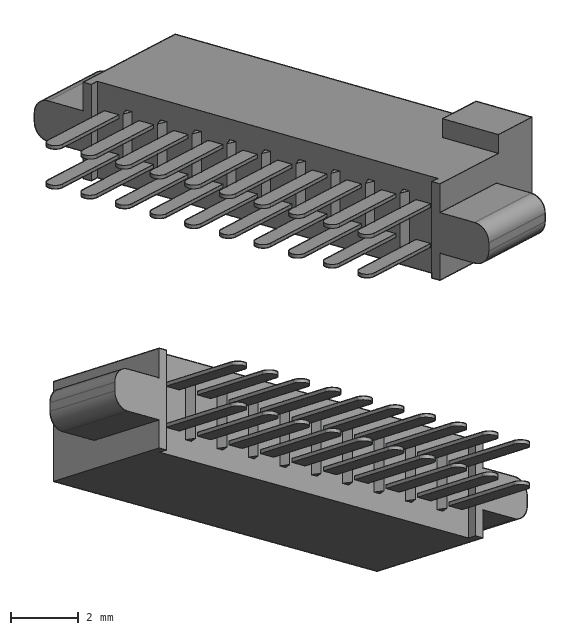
import cadquery as cq

overall_length = 16.64
overall_depth = 7.32
overall_height = 3.68
body_length = 13.06
body_depth = 4.56
body_height = 3.08

recess_depth = 0.3
end_wall = 0.3

key_length = 2.05
key_depth = 1.66
key_height = overall_height - body_height

ear_depth = 2.8
ear_height = 1.3
ear_radius = 0.52

pin_count = 10
pitch = 1.268
pin_width = 0.53
pin_thickness = 0.12

rib_width = 0.23
rib_height = 1.81

body_back = body_depth
recess_floor = recess_depth
pin_tip = body_depth - overall_depth
contact_level = 1.51


def box(length, depth, height, x, y, z):
    """Box centred on x, starting at y and z."""
    return cq.Workplane("XY").box(length, depth, height, centered=(True, False, False)).translate((x, y, z))


def make_housing():
    body = box(body_length, body_depth, body_height, 0, 0, 0)
    recess = box(body_length - 2 * end_wall, recess_depth, body_height, 0, 0, 0)
    key_x = (body_length - key_length) / 2
    key = box(key_length, key_depth, key_height, key_x, body_back - key_depth, body_height)
    return body.cut(recess).union(key)


def make_ears():
    """One rounded bar through the housing forms both ears, less the stretch inside the body."""
    bar = box(overall_length, ear_depth, ear_height, 0, 0, contact_level - ear_height / 2)
    bar = bar.edges("|Y and (<X or >X)").fillet(ear_radius)
    return bar.cut(box(body_length, ear_depth, body_height, 0, 0, 0))


def make_pin(x, z):
    """Flat pin with a half-round tip, rooted on the recess floor."""
    half_width = pin_width / 2
    round_start = pin_tip + half_width
    return (
        cq.Workplane("XY", origin=(x, 0, z - pin_thickness / 2))
        .moveTo(-half_width, recess_floor)
        .lineTo(-half_width, round_start)
        .threePointArc((0, pin_tip), (half_width, round_start))
        .lineTo(half_width, recess_floor)
        .close()
        .extrude(pin_thickness)
    )


def make_rib(x):
    """Triangular rib whose ridge is level with the end walls."""
    return (
        cq.Workplane("XY", origin=(x, 0, contact_level - rib_height / 2))
        .moveTo(-rib_width / 2, recess_floor)
        .lineTo(0, 0)
        .lineTo(rib_width / 2, recess_floor)
        .close()
        .extrude(rib_height)
    )


result = make_housing().union(make_ears())

first_pin_x = -(pin_count - 1) * pitch / 2
for column in range(pin_count):
    pin_x = first_pin_x + column * pitch
    for row_side in (-1, 1):
        result = result.union(make_pin(pin_x, contact_level + row_side * pitch / 2))

for gap in range(pin_count - 1):
    result = result.union(make_rib(first_pin_x + (gap + 0.5) * pitch))